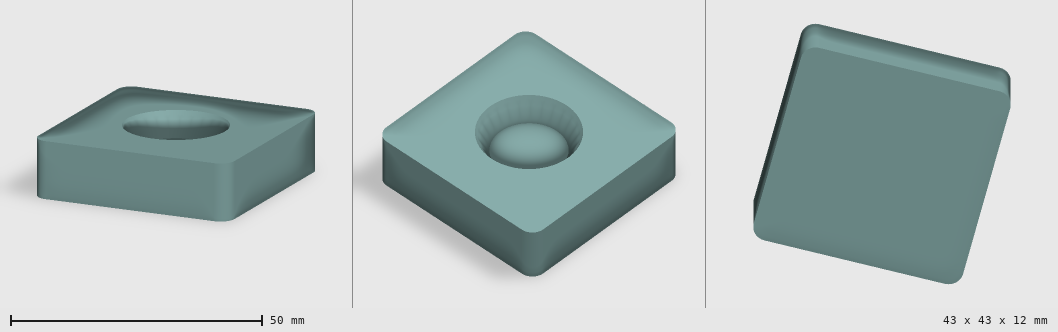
import cadquery as cq

side = 43.0
height = 12.0
corner_radius = 3.0

rim_radius = side / 4
floor_radius = 7.85
recess_depth = 5.0


def make_block():
    """Square block with rounded vertical corners, standing on Z = 0."""
    block = cq.Workplane("XY").box(side, side, height, centered=(True, True, False))
    return block.edges("|Z").fillet(corner_radius)


def make_recess():
    """Flat-floored conical recess, widening upward to the top face."""
    floor_z = height - recess_depth
    profile = (
        cq.Workplane("XZ")
        .moveTo(0, floor_z)
        .lineTo(floor_radius, floor_z)
        .lineTo(rim_radius, height)
        .lineTo(0, height)
        .close()
    )
    return profile.revolve(360, (0, 0, 0), (0, 1, 0))


result = make_block().cut(make_recess())